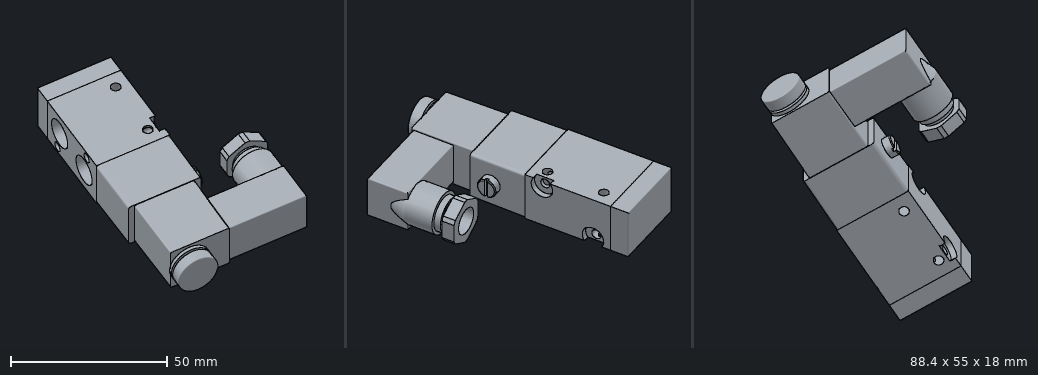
import cadquery as cq
import math


TOTAL_LENGTH = 88.4
TOTAL_WIDTH = 55.0
BLOCK_WIDTH = 27.05
BLOCK_HEIGHT = 18.0
BLOCK_CENTRE_Y = BLOCK_WIDTH / 2

CAP_END = 6.7
BLOCK_END = 38.6
PILOT_END = 59.1
COIL_END = 82.3

CAP_FILLET = 0.4
MOULD_TAPER = 0.5
PILOT_FILLET = 1.1
COIL_FILLET = 0.5

PORT_MOUTH_DIAMETER = 10.4
PORT_SEAT_DIAMETER = 9.9
PORT_BORE_DIAMETER = 8.5
PORT_TAPER_DEPTH = 8.0
PORT_DEPTH = 11.5
PORTS = [(14.7, 1.1), (30.6, -1.0)]
MOUNT_DIAMETER = 3.4
MOUNT_Z = 6.5
SIDE_MOUNTS = [(13.3, -MOUNT_Z), (32.3, MOUNT_Z)]
TOP_MOUNT_XS = [12.2, 33.15]
TOP_MOUNT_Y = 22.0
COUNTERBORE_DIAMETER = 8.0
COUNTERBORE_DEPTH = 2.1

SCREW_X = 51.3
SCREW_TOP_Y = 30.1
SCREW_DIAMETER = 6.9
SCREW_CHAMFER = 0.35
SLOT_WIDTH = 1.1
SLOT_DEPTH = 1.1

COIL_WIDTH = 22.1
COIL_HEIGHT = 17.2
COIL_CENTRE_Y = 13.4

KNOB_CENTRE_Y = 9.5
KNOB_DIAMETER = 14.5
KNOB_GROOVE_DIAMETER = 9.2
KNOB_FLANGE_END = 83.5
KNOB_START = 84.3
KNOB_FILLET = 0.4

ARM_START = 66.7
ARM_END = 81.9
ARM_TOP_Y = 52.95
ARM_HEIGHT = 15.3
ARM_FILLET = 0.4

NUT_FLATS = 15.1
NUT_CORNER_CHAMFER = 1.0
NUT_START = 48.35
NUT_END = 52.9
NECK_END = 54.2
COLLAR_END = 56.6
NECK_DIAMETER = 10.9
COLLAR_DIAMETER = 12.6
SLEEVE_DIAMETER = NUT_FLATS
CONE_END = 73.0
CONE_END_DIAMETER = 11.1
CABLE_BORE_DIAMETER = 9.5
GLAND_Y = TOTAL_WIDTH - NUT_FLATS / 2

JOIN = 1.8


def plane_x(x, y=0.0):
    """Plane facing +X, with local x along Y and local y along Z."""
    return cq.Workplane("YZ", origin=(x, y, 0))


def plane_y(y):
    """Plane facing +Y, with local x along X and local y along -Z."""
    return cq.Workplane("XZ", origin=(0, y, 0)).transformed(rotate=(180, 0, 0))


def rod_x(x_start, x_end, diameter, y):
    """Round bar along X, centred at Z = 0."""
    return plane_x(x_start, y).circle(diameter / 2).extrude(x_end - x_start)


def slab_x(x_start, x_end, width, height, centre_y, taper=0.0):
    """Block along X whose section narrows by the taper angle."""
    return plane_x(x_start, centre_y).rect(width, height).extrude(x_end - x_start, taper=taper)


def cone_y(x, z, start_diameter, end_diameter, depth):
    """Tapered plug entering the block from Y = 0."""
    return cq.Workplane(
        cq.Solid.makeCone(
            start_diameter / 2, end_diameter / 2, depth, cq.Vector(x, 0, z), cq.Vector(0, 1, 0)
        )
    )


def rod_y(x, z, diameter, y_start, y_end):
    """Round bar along Y."""
    return plane_y(y_start).center(x, -z).circle(diameter / 2).extrude(y_end - y_start)


def make_end_cap():
    cap = slab_x(0, CAP_END, BLOCK_WIDTH, BLOCK_HEIGHT, BLOCK_CENTRE_Y)
    return cap.faces("<X").edges().fillet(CAP_FILLET)


def make_valve_block():
    block = slab_x(CAP_END, BLOCK_END, BLOCK_WIDTH, BLOCK_HEIGHT, BLOCK_CENTRE_Y)

    for x, z in PORTS:
        block = block.cut(cone_y(x, z, PORT_MOUTH_DIAMETER, PORT_SEAT_DIAMETER, PORT_TAPER_DEPTH))
        block = block.cut(rod_y(x, z, PORT_BORE_DIAMETER, 0, PORT_DEPTH))

    for x, z in SIDE_MOUNTS:
        block = block.cut(rod_y(x, z, MOUNT_DIAMETER, 0, BLOCK_WIDTH))
        block = block.cut(
            rod_y(x, z, COUNTERBORE_DIAMETER, BLOCK_WIDTH - COUNTERBORE_DEPTH, BLOCK_WIDTH)
        )

    top_mounts = (
        cq.Workplane("XY", origin=(0, 0, -BLOCK_HEIGHT / 2))
        .pushPoints([(x, TOP_MOUNT_Y) for x in TOP_MOUNT_XS])
        .circle(MOUNT_DIAMETER / 2)
        .extrude(BLOCK_HEIGHT)
    )
    return block.cut(top_mounts)


def make_pilot_housing():
    housing = slab_x(BLOCK_END, PILOT_END, BLOCK_WIDTH, BLOCK_HEIGHT, BLOCK_CENTRE_Y, MOULD_TAPER)
    housing = housing.edges("not(|Y or |Z)").fillet(PILOT_FILLET)

    screw = rod_y(SCREW_X, 0, SCREW_DIAMETER, BLOCK_WIDTH - JOIN, SCREW_TOP_Y)
    screw = screw.faces(">Y").edges().chamfer(SCREW_CHAMFER)
    slot = cq.Workplane("XY").box(SLOT_WIDTH, 2 * SLOT_DEPTH, SCREW_DIAMETER)
    screw = screw.cut(slot.translate((SCREW_X, SCREW_TOP_Y, 0)))
    return housing.union(screw)


def make_knob():
    flange = rod_x(COIL_END, KNOB_FLANGE_END, KNOB_DIAMETER, KNOB_CENTRE_Y)
    stem = rod_x(COIL_END - JOIN, KNOB_START, KNOB_GROOVE_DIAMETER, KNOB_CENTRE_Y)
    grip = rod_x(KNOB_START, TOTAL_LENGTH, KNOB_DIAMETER, KNOB_CENTRE_Y)
    grip = grip.faces(">X").edges().fillet(KNOB_FILLET)
    return stem.union(flange).union(grip)


def make_connector_arm():
    """Bar along Y whose top and bottom faces have rounded rims."""
    base_y = COIL_CENTRE_Y + COIL_WIDTH / 2 - JOIN
    arm = cq.Workplane("XY").box(
        ARM_END - ARM_START, ARM_TOP_Y - base_y, ARM_HEIGHT, centered=(False, False, True)
    )
    arm = arm.translate((ARM_START, base_y, 0))
    return arm.faces("<Z or >Z").edges().fillet(ARM_FILLET)


def make_cable_gland():
    nut_corners = NUT_FLATS / math.cos(math.radians(30))
    nut = (
        plane_x(NUT_START, GLAND_Y)
        .transformed(rotate=(0, 0, 90))
        .polygon(6, nut_corners)
        .extrude(NUT_END - NUT_START)
        .edges("|X")
        .chamfer(NUT_CORNER_CHAMFER)
    )
    neck = rod_x(NUT_END, NECK_END, NECK_DIAMETER, GLAND_Y)
    collar = rod_x(NECK_END, COLLAR_END, COLLAR_DIAMETER, GLAND_Y)
    sleeve = rod_x(COLLAR_END, ARM_START, SLEEVE_DIAMETER, GLAND_Y)
    cone = cq.Workplane(
        cq.Solid.makeCone(
            SLEEVE_DIAMETER / 2,
            CONE_END_DIAMETER / 2,
            CONE_END - ARM_START,
            cq.Vector(ARM_START, GLAND_Y, 0),
            cq.Vector(1, 0, 0),
        )
    )
    return nut.union(neck).union(collar).union(sleeve).union(cone)


def make_coil():
    coil = slab_x(PILOT_END, COIL_END, COIL_WIDTH, COIL_HEIGHT, COIL_CENTRE_Y, MOULD_TAPER)
    coil = coil.edges("not(|Y or |Z)").fillet(COIL_FILLET)
    coil = coil.union(make_knob()).union(make_connector_arm()).union(make_cable_gland())
    return coil.cut(rod_x(NUT_START, COLLAR_END, CABLE_BORE_DIAMETER, GLAND_Y))


end_cap = make_end_cap()
valve_block = make_valve_block()
pilot_housing = make_pilot_housing()
coil = make_coil()

result = cq.Compound.makeCompound(
    [end_cap.val(), valve_block.val(), pilot_housing.val(), coil.val()]
)